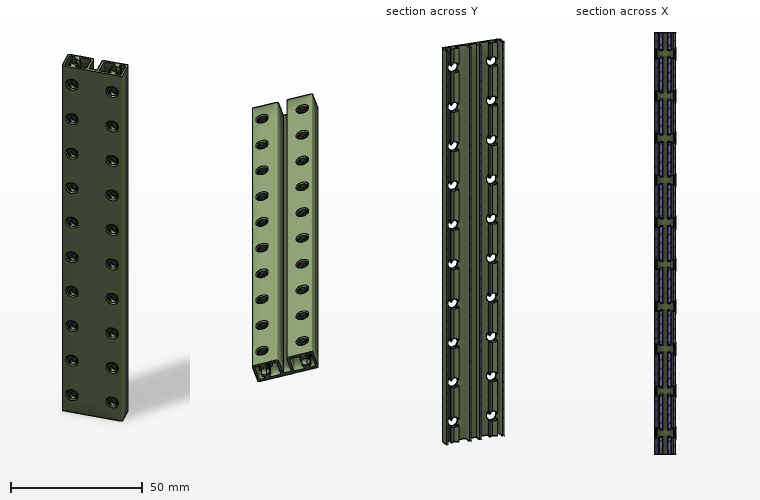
import cadquery as cq

length = 160.0
width = 24.0
depth = 8.0
outer_corner_radius = 0.51

wall = 1.0
side_wall = 0.8
chamber_corner_radius = 0.6

channel_width = 3.2
channel_floor = 1.3
channel_mouth_radius = 1.0

port_spacing = 16.0
groove_apex_y = 1.8
jaw_width = 3.2
jaw_neck_width = 1.8
jaw_gap = 1.6
jaw_neck_height = 1.1
jaw_root_radius = 0.5

hole_pitch = 16.0
hole_count = 10
hole_diameter = 4.0
countersink_diameter = 5.0

chamber_height = depth - 2 * wall
chamber_inner_x = channel_width / 2 + wall
chamber_outer_x = width / 2 - side_wall
chamber_width = chamber_outer_x - chamber_inner_x
chamber_center_x = (chamber_outer_x + chamber_inner_x) / 2
port_x = port_spacing / 2
countersink_depth = (countersink_diameter - hole_diameter) / 2


def rail_body():
    """Solid bar with the central channel cut into its +Y face."""
    bar = cq.Workplane("XY").rect(width, depth).extrude(length)
    bar = bar.edges("|Z").fillet(outer_corner_radius)
    channel_depth = depth - channel_floor
    channel = (
        cq.Workplane("XY")
        .center(0, depth / 2 - channel_depth / 2)
        .rect(channel_width, channel_depth)
        .extrude(length)
    )
    mouth_edges = cq.selectors.BoxSelector(
        (-channel_width, depth / 2 - wall / 2, 0),
        (channel_width, depth / 2 + wall / 2, length),
    )
    return bar.cut(channel).edges("|Z").edges(mouth_edges).fillet(channel_mouth_radius)


def chamber(side):
    """Hollow running the full length on one side (-1 or 1) of the channel."""
    return (
        cq.Workplane("XY")
        .center(side * chamber_center_x, 0)
        .rect(chamber_width, chamber_height)
        .extrude(length)
        .edges("|Z")
        .fillet(chamber_corner_radius)
    )


def screw_port(side):
    """Two facing jaws with waisted, filleted roots and V-grooved tips."""
    half_jaw = jaw_width / 2
    half_neck = jaw_neck_width / 2
    half_root = half_neck + jaw_root_radius
    embed_y = chamber_height / 2 + wall / 2
    root_y = chamber_height / 2
    neck_y = root_y - jaw_root_radius
    shoulder_y = root_y - jaw_neck_height
    jaw = (
        cq.Workplane("XY")
        .moveTo(-half_root, embed_y)
        .lineTo(-half_root, root_y)
        .radiusArc((-half_neck, neck_y), jaw_root_radius)
        .lineTo(-half_jaw, shoulder_y)
        .lineTo(-half_jaw, jaw_gap / 2)
        .lineTo(0, groove_apex_y)
        .lineTo(half_jaw, jaw_gap / 2)
        .lineTo(half_jaw, shoulder_y)
        .lineTo(half_neck, neck_y)
        .radiusArc((half_root, root_y), jaw_root_radius)
        .lineTo(half_root, embed_y)
        .close()
        .extrude(length)
    )
    jaws = jaw.union(jaw.mirror("XZ"))
    return jaws.translate((side * port_x, 0, 0))


def cross_holes():
    """Two rows of holes through both faces along Y, countersunk at each end."""
    half_profile = [
        (0, -depth / 2),
        (countersink_diameter / 2, -depth / 2),
        (hole_diameter / 2, -depth / 2 + countersink_depth),
        (hole_diameter / 2, depth / 2 - countersink_depth),
        (countersink_diameter / 2, depth / 2),
        (0, depth / 2),
    ]
    cutter = cq.Workplane("XY").polyline(half_profile).close().revolve(360, (0, 0, 0), (0, 1, 0)).val()
    cutters = [
        cutter.translate(cq.Vector(side * port_x, 0, hole_pitch * (index + 0.5)))
        for side in (-1, 1)
        for index in range(hole_count)
    ]
    return cq.Workplane(cq.Compound.makeCompound(cutters))


result = rail_body()
for side in (-1, 1):
    result = result.cut(chamber(side)).union(screw_port(side))

result = result.cut(cross_holes()).translate((0, 0, -length / 2))